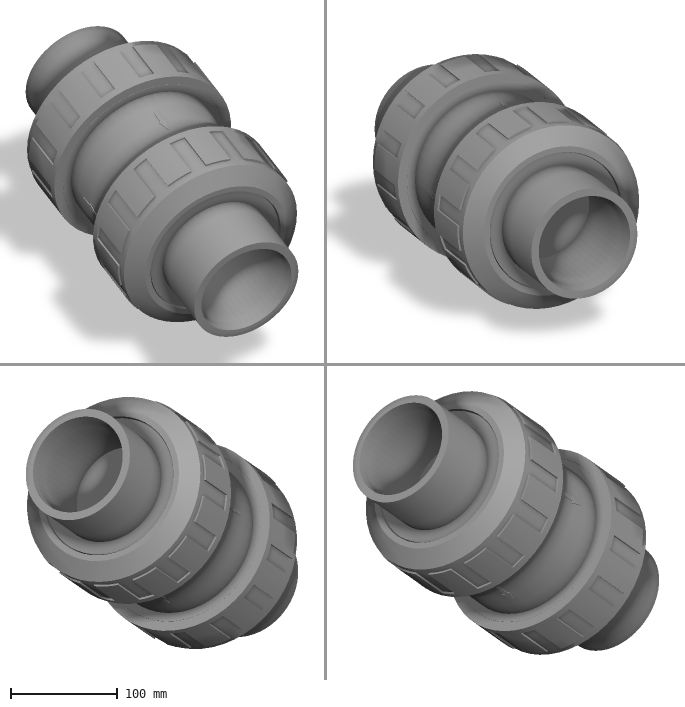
import cadquery as cq


length = 341.0
pipe_diameter = 110.0
bore_diameter = 94.8
bore_depth = 88.5

body_diameter = 151.5
body_collar_diameter = 168.0

nut_inner_x = 39.2
nut_length = 69.2
nut_outer_x = nut_inner_x + nut_length
rim_diameter = 187.0
rim_width = 7.5
nut_diameter = 183.0
nut_face_diameter = 149.0
bevel_width = 10.5

pipe_flange_diameter = 135.0
nut_bore_diameter = 137.5
collar_bore_diameter = 168.5
clearance_depth = 6.8
pipe_flange_recess = 1.7

tooth_count = 14
tooth_pitch = 360.0 / tooth_count
tooth_angle = 16.0
tooth_centre_angle = 5.2
tooth_length = 43.3

arrow_count = 4
arrow_length = 26.5
arrow_shaft_width = 3.5
arrow_head_width = 7.5
arrow_height = 0.7
arrow_embed = 1.7

cut_overrun = 3.5


def tube(x_start, x_end, outer_diameter, inner_diameter=0.0):
    """Round bar or tube along X between two X positions."""
    ring = cq.Workplane("YZ", origin=(x_start, 0, 0)).circle(outer_diameter / 2)
    if inner_diameter > 0:
        ring = ring.circle(inner_diameter / 2)
    return ring.extrude(x_end - x_start)


def nut_blank():
    """Bevelled nut, full rim diameter over the length that the grip teeth cover."""
    teeth_end_x = nut_inner_x + rim_width + tooth_length
    profile = [
        (nut_inner_x, 0),
        (nut_inner_x, rim_diameter / 2),
        (teeth_end_x, rim_diameter / 2),
        (teeth_end_x, nut_diameter / 2),
        (nut_outer_x - bevel_width, nut_diameter / 2),
        (nut_outer_x, nut_face_diameter / 2),
        (nut_outer_x, 0),
    ]
    return cq.Workplane("XY").polyline(profile).close().revolve(360, (0, 0, 0), (1, 0, 0))


def tooth_gap(start_angle):
    """Sector removed between two grip teeth; the angle is measured from +Y towards +Z."""
    gap_start_x = nut_inner_x + rim_width
    gap_end_x = gap_start_x + tooth_length
    section = cq.Workplane("XY").moveTo(gap_start_x, nut_diameter / 2)
    section = section.lineTo(gap_end_x, nut_diameter / 2)
    section = section.lineTo(gap_end_x, rim_diameter / 2 + cut_overrun)
    section = section.lineTo(gap_start_x, rim_diameter / 2 + cut_overrun).close()
    gap = section.revolve(tooth_pitch - tooth_angle, (0, 0, 0), (1, 0, 0))
    return gap.rotate((0, 0, 0), (1, 0, 0), start_angle)


def valve_half():
    """The +X half: half of the body, one nut and one pipe stub."""
    half = tube(0, nut_inner_x + rim_width, body_diameter).union(nut_blank())
    for index in range(tooth_count):
        gap_start_angle = tooth_centre_angle + tooth_angle / 2 + index * tooth_pitch
        half = half.cut(tooth_gap(gap_start_angle))
    half = half.cut(
        tube(nut_inner_x, nut_inner_x + clearance_depth, collar_bore_diameter, body_collar_diameter)
    )
    half = half.cut(
        tube(nut_outer_x - clearance_depth, nut_outer_x, nut_bore_diameter, pipe_flange_diameter)
    )
    half = half.cut(tube(nut_outer_x - pipe_flange_recess, nut_outer_x, nut_bore_diameter))
    half = half.union(tube(nut_outer_x - clearance_depth, length / 2, pipe_diameter))
    return half.cut(tube(length / 2 - bore_depth, length / 2, bore_diameter))


def flow_arrow():
    """Arrow on top of the body, pointing along +X."""
    outline = [
        (-arrow_length / 2, -arrow_shaft_width / 2),
        (0, -arrow_shaft_width / 2),
        (0, -arrow_head_width / 2),
        (arrow_length / 2, 0),
        (0, arrow_head_width / 2),
        (0, arrow_shaft_width / 2),
        (-arrow_length / 2, arrow_shaft_width / 2),
    ]
    base = cq.Workplane("XY").workplane(offset=body_diameter / 2 - arrow_embed)
    return base.polyline(outline).close().extrude(arrow_embed + arrow_height)


outlet_half = valve_half()
inlet_half = outlet_half.rotate((0, 0, 0), (0, 0, 1), 180)
result = outlet_half.union(inlet_half)

for index in range(arrow_count):
    arrow = flow_arrow().rotate((0, 0, 0), (1, 0, 0), index * 360.0 / arrow_count)
    result = result.union(arrow)